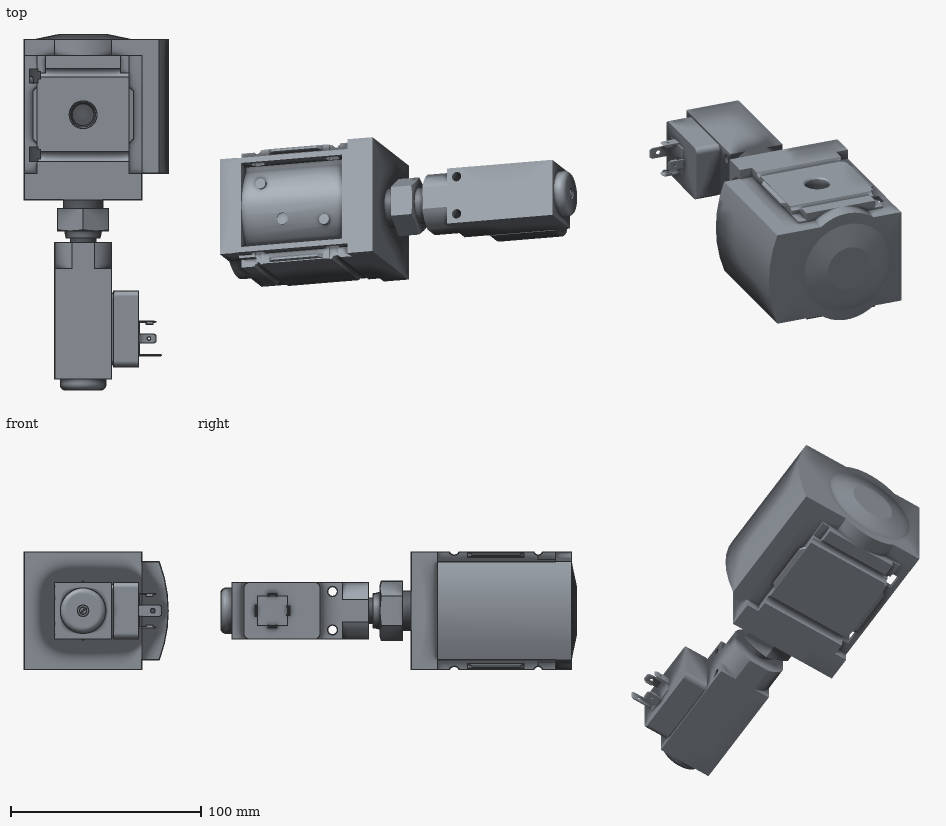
import cadquery as cq
import math

block_width = 62.0
block_half = block_width / 2
front_depth = 13.8
plate_front = 76.0
housing_back = 84.4
frame_half = 25.8
ledge_half = 25.6
platform_half = 24.1

cover_edge = 40.0
cover_projection = 13.8
cover_crown = block_half + cover_projection
pad_half_width = 15.0
rear_cap_base_diameter = 49.4
rear_cap_top_diameter = 24.3
rear_cap_height = 2.6

window_front = 16.8
window_back = 72.8
window_half = 22.8
window_floor = -21.1
cartridge_diameter = 59.0
pins = [(62.3, 11.0, 5.5, -30.0), (27.1, -11.0, 5.5, -30.0), (50.7, -8.5, 6.0, -27.9)]

groove_depth = 1.7
grooves = [(66.8, 4.5), (22.6, 5.2)]
corner_notch_inner = 19.6
corner_notch_front = 66.8
corner_notch_floor = 27.0
lug_outer = 26.4
lug_base_span = (29.5, 59.3)
lug_tip_span = (32.0, 57.3)
lug_base_heights = (27.9, 30.5)
lug_tip_heights = (29.0, 30.0)
keyhole_outer = -28.0
keyhole_step = -23.8
keyhole_inner = -22.5
keyholes = [((61.4, 68.9), (63.6, 67.4)), ((20.2, 27.7), (21.3, 26.4))]
port_y = 44.7
port_mouth_diameter = 14.6
port_top_diameter = 13.1
port_floor_diameter = 11.5
port_chamfer = 0.7
port_depth = 13.1

collar_diameter = 20.8
nut_back = -4.5
nut_front = -16.5
nut_flats = 27.0
nut_face_diameter = 26.0
nut_chamfer_length = 0.7
cone_wide = 19.3
cone_narrow = 17.8
cone_end = -20.2
neck_diameter = 13.5

switch_half = 15.0
switch_back = -22.5
shoulder_end = -36.1
switch_front = -94.3
shoulder_flat = 11.8
mount_hole_diameter = 5.0
mount_hole_y = -41.4
mount_hole_z = 10.1
cap_end = -100.1
cap_diameter = 24.0
cap_fillet = 3.0
screw_recess_diameter = 6.0
screw_diameter = 3.7
screw_recess_depth = 1.1
screw_slot_width = 0.7
screw_slot_depth = 0.5
screw_slot_angle = -45

plug_start = 16.0
plug_end = 29.2
plug_front = -88.0
plug_back = -47.9
plug_round = 3.0
gasket_inset = 1.1
contact_y = -73.0
contact_pad_size = 15.7
contact_pad_height = 0.5
blade_offset = 8.8
blade_thickness = 0.7
blade_width = 4.9
blade_end = 38.4
blade_hole_x = 34.6
blade_hole_diameter = 1.65
tip_length = 1.1
tip_narrowing = 0.7
tip_bevel = 0.28
wing_start = 33.1
wing_end = 36.9
wing_height = 1.3
wing_thickness = 0.5
earth_width = 6.0
earth_end = 41.4
earth_hole_x = 36.7
earth_hole_diameter = 2.5


def block(x_range, y_range, z_range):
    """Box between the given limits."""
    (x0, x1), (y0, y1), (z0, z1) = x_range, y_range, z_range
    return cq.Workplane("XY").box(x1 - x0, y1 - y0, z1 - z0, centered=False).translate((x0, y0, z0))


def rod_y(diameter, y_start, y_end):
    """Cylinder along the fluid axis."""
    profile = cq.Workplane("XZ", origin=(0, y_start, 0)).circle(diameter / 2)
    return profile.extrude(y_start - y_end)


def rod_x(diameter, x_range, y, z):
    """Cylinder parallel to X."""
    x0, x1 = x_range
    return cq.Workplane("YZ", origin=(x0, y, z)).circle(diameter / 2).extrude(x1 - x0)


def with_mirror(shape):
    """The shape together with its mirror image below Z = 0."""
    return shape.union(shape.mirror("XY"))


def housing_base():
    """Stepped block with the rear plate and the crowned side cover."""
    base = block((-block_half, block_half), (0, plate_front), (-block_half, block_half))
    for x_range in [(-block_half, -platform_half), (platform_half, block_half)]:
        lowered = block(x_range, (front_depth, plate_front), (ledge_half, block_half))
        base = base.cut(with_mirror(lowered))
    plate = block((-block_half, block_half), (plate_front, housing_back), (-frame_half, frame_half))
    cover = (
        cq.Workplane("XZ", origin=(0, housing_back, 0))
        .moveTo(block_half, -frame_half)
        .lineTo(cover_edge, -frame_half)
        .threePointArc((cover_crown, 0), (cover_edge, frame_half))
        .lineTo(block_half, frame_half)
        .close()
        .extrude(housing_back - front_depth)
    )
    return base.union(plate).union(cover)


def rear_pads():
    """Rounded humps that bring the rear plate up to the block height."""
    pad = (
        cq.Workplane("XZ", origin=(0, housing_back, 0))
        .moveTo(-pad_half_width, 0)
        .lineTo(-pad_half_width, frame_half)
        .threePointArc((0, block_half), (pad_half_width, frame_half))
        .lineTo(pad_half_width, 0)
        .close()
        .extrude(housing_back - plate_front)
    )
    return with_mirror(pad)


def rear_cap():
    """Low conical cap on the back face."""
    return (
        cq.Workplane("XZ", origin=(0, housing_back, 0))
        .circle(rear_cap_base_diameter / 2)
        .workplane(offset=-rear_cap_height)
        .circle(rear_cap_top_diameter / 2)
        .loft()
    )


def window_void():
    """Window opening, less the cartridge that bulges into it."""
    opening = block((-block_half, window_floor), (window_front, window_back), (-window_half, window_half))
    return opening.cut(rod_y(cartridge_diameter, window_front, window_back))


def platform_grooves():
    """Shallow round-bottomed grooves along X, top and bottom."""
    cutters = cq.Workplane("XY")
    for y, width in grooves:
        radius = ((width / 2) ** 2 + groove_depth**2) / (2 * groove_depth)
        z = block_half - groove_depth + radius
        cutters = cutters.union(rod_x(2 * radius, (-platform_half, platform_half), y, z))
    return with_mirror(cutters)


def corner_notches():
    """Steps in the rear corners of each platform."""
    left = block(
        (-platform_half, -corner_notch_inner),
        (corner_notch_front, plate_front),
        (corner_notch_floor, block_half),
    )
    return with_mirror(left.union(left.mirror("YZ")))


def side_lugs():
    """Tapered lugs on both flanks of each platform."""
    planform = (
        cq.Workplane("XY")
        .moveTo(-platform_half, lug_base_span[0])
        .lineTo(-lug_outer, lug_tip_span[0])
        .lineTo(-lug_outer, lug_tip_span[1])
        .lineTo(-platform_half, lug_base_span[1])
        .close()
        .extrude(block_half)
    )
    section = (
        cq.Workplane("XZ", origin=(0, plate_front, 0))
        .moveTo(-platform_half, lug_base_heights[0])
        .lineTo(-lug_outer, lug_tip_heights[0])
        .lineTo(-lug_outer, lug_tip_heights[1])
        .lineTo(-platform_half, lug_base_heights[1])
        .close()
        .extrude(plate_front)
    )
    left = planform.intersect(section)
    return with_mirror(left.union(left.mirror("YZ")))


def keyhole_slots():
    """Stepped slots that open the top and bottom walls into the window."""
    height = (window_half, block_half)
    cutters = cq.Workplane("XY")
    for wide, narrow in keyholes:
        cutters = cutters.union(block((keyhole_outer, keyhole_step), wide, height))
        cutters = cutters.union(block((keyhole_step, keyhole_inner), narrow, height))
    return with_mirror(cutters)


def port_hole():
    """Blind tapered hole with a chamfered mouth."""
    profile = [
        (0, 0),
        (port_mouth_diameter / 2, 0),
        (port_top_diameter / 2, -port_chamfer),
        (port_floor_diameter / 2, -port_depth),
        (0, -port_depth),
    ]
    hole = cq.Workplane("XZ").polyline(profile).close().revolve(360, (0, 0), (0, 1))
    return hole.translate((0, port_y, block_half))


def make_housing():
    housing = housing_base().union(rear_pads()).union(rear_cap()).union(side_lugs())
    for cutter in [window_void(), platform_grooves(), corner_notches(), keyhole_slots(), port_hole()]:
        housing = housing.cut(cutter)
    for y, z, diameter, tip in pins:
        housing = housing.union(rod_x(diameter, (tip, window_floor), y, z))
        housing = housing.cut(rod_x(diameter, (-block_half, tip), y, z))
    return housing


def make_fitting():
    """Connecting piece: collar, hexagon nut, cone and neck along the fluid axis."""
    nut_length = nut_back - nut_front
    corner_diameter = nut_flats / math.cos(math.pi / 6)
    nut = cq.Workplane("XZ", origin=(0, nut_back, 0)).polygon(6, corner_diameter).extrude(nut_length)
    nut = nut.rotate((0, 0, 0), (0, 1, 0), 30)
    chamfered_round = (
        rod_y(corner_diameter, nut_back, nut_front)
        .faces("<Y")
        .chamfer(nut_chamfer_length, (corner_diameter - nut_face_diameter) / 2)
    )
    nut = nut.intersect(chamfered_round)
    cone = (
        cq.Workplane("XZ", origin=(0, nut_front, 0))
        .circle(cone_wide / 2)
        .workplane(offset=nut_front - cone_end)
        .circle(cone_narrow / 2)
        .loft()
    )
    collar = rod_y(collar_diameter, 0, nut_back)
    neck = rod_y(neck_diameter, cone_end, switch_back)
    return collar.union(nut).union(cone).union(neck)


def switch_block():
    """Square body with a rounded shoulder and two mounting holes."""
    side = (-switch_half, switch_half)
    shoulder_diameter = 2 * math.hypot(switch_half, shoulder_flat / 2)
    shoulder = block(side, (shoulder_end, switch_back), side)
    shoulder = shoulder.intersect(rod_y(shoulder_diameter, switch_back, shoulder_end))
    body = block(side, (switch_front, shoulder_end), side).union(shoulder)
    for z in (-mount_hole_z, mount_hole_z):
        body = body.cut(rod_x(mount_hole_diameter, side, mount_hole_y, z))
    return body


def switch_cap():
    """Round cap with a slotted adjusting screw in its centre."""
    cap = rod_y(cap_diameter, switch_front, cap_end).faces("<Y").edges().fillet(cap_fillet)
    recess_floor = cap_end + screw_recess_depth
    recess = rod_y(screw_recess_diameter, recess_floor, cap_end)
    slot_half = screw_slot_width / 2
    reach = screw_diameter / 2
    slot = block((-reach, reach), (cap_end, cap_end + screw_slot_depth), (-slot_half, slot_half))
    slot = slot.rotate((0, 0, 0), (0, 1, 0), screw_slot_angle)
    screw = rod_y(screw_diameter, recess_floor, cap_end).cut(slot)
    return cap.cut(recess).union(screw)


def plug_base():
    """Rounded connector housing with its gasket and contact pad."""
    plug = block((plug_start, plug_end), (plug_front, plug_back), (-switch_half, switch_half))
    plug = plug.edges("|X").fillet(plug_round)
    gasket_half = switch_half - gasket_inset
    gasket = block(
        (switch_half, plug_start),
        (plug_front + gasket_inset, plug_back - gasket_inset),
        (-gasket_half, gasket_half),
    )
    gasket = gasket.edges("|X").fillet(plug_round)
    pad_half = contact_pad_size / 2
    pad = block(
        (plug_end, plug_end + contact_pad_height),
        (contact_y - pad_half, contact_y + pad_half),
        (-pad_half, pad_half),
    )
    return plug.union(gasket).union(pad)


def blade(width, end, hole_x, hole_diameter):
    """Flat contact blade lying across Z, centred on Z = blade_offset and Y = 0."""
    half = width / 2
    bottom = blade_offset - blade_thickness / 2
    top = blade_offset + blade_thickness / 2
    side_profile = [
        (plug_end, bottom),
        (end - tip_length, bottom),
        (end, bottom + tip_bevel),
        (end, top - tip_bevel),
        (end - tip_length, top),
        (plug_end, top),
    ]
    flat = cq.Workplane("XZ", origin=(0, half, 0)).polyline(side_profile).close().extrude(width)
    planform = [
        (plug_end, -half),
        (end - tip_length, -half),
        (end, tip_narrowing - half),
        (end, half - tip_narrowing),
        (end - tip_length, half),
        (plug_end, half),
    ]
    flat = flat.intersect(cq.Workplane("XY").polyline(planform).close().extrude(block_half))
    hole = cq.Workplane("XY", origin=(hole_x, 0, 0)).circle(hole_diameter / 2).extrude(block_half)
    return flat.cut(hole)


def winged_blade():
    """Contact blade whose two edges are bent towards the plug centre."""
    contact = blade(blade_width, blade_end, blade_hole_x, blade_hole_diameter)
    half = blade_width / 2
    for y_range in [(-half, wing_thickness - half), (half - wing_thickness, half)]:
        contact = contact.union(
            block((wing_start, wing_end), y_range, (blade_offset - wing_height, blade_offset))
        )
    return contact


def turned(contact, angle):
    """The contact turned about the plug axis and moved to its place."""
    return contact.rotate((0, 0, 0), (1, 0, 0), angle).translate((0, contact_y, 0))


def make_switch():
    switch = switch_block().union(switch_cap()).union(plug_base())
    for angle in (-90, 0, 180):
        switch = switch.union(turned(winged_blade(), angle))
    earth = blade(earth_width, earth_end, earth_hole_x, earth_hole_diameter)
    return switch.union(turned(earth, 90))


housing = make_housing()
fitting = make_fitting()
switch = make_switch()

result = cq.Compound.makeCompound([housing.val(), fitting.val(), switch.val()])